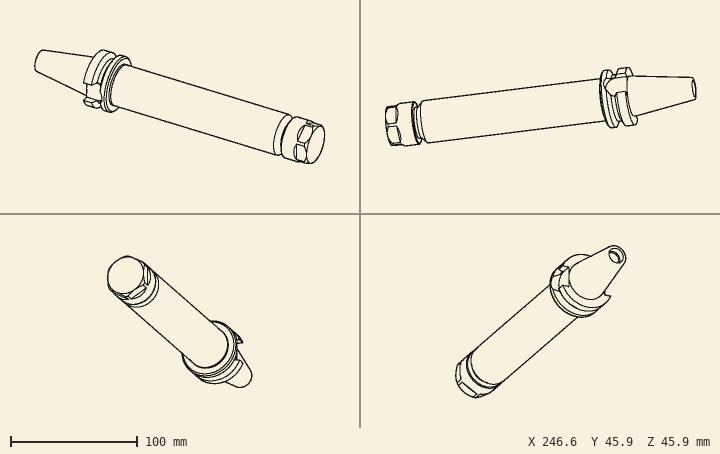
import cadquery as cq
import math

total_length = 246.6
taper_length = 48.3
flange_start = 50.5
flange_end = 71.0
nut_start = 224.2

gauge_diameter = 31.8
tip_diameter = gauge_diameter - taper_length * 7 / 24
tip_fillet = 1.2

flange_diameter = 45.9
flange_chamfer = 1.2
groove_diameter = 37.0
groove_floor_start = 60.2
groove_floor_end = 63.5
groove_depth = (flange_diameter - groove_diameter) / 2
groove_run = groove_depth * math.tan(math.radians(30))

collar_diameter = 34.0
collar_end = 72.5
body_diameter = 33.8
body_chamfer = 1.2
body_chamfer_depth = 0.2
neck_start = 217.8
neck_diameter = 25.0
neck_run = (body_diameter - neck_diameter) / 2 - body_chamfer_depth

pilot_diameter = 12.5
thread_diameter = 10.0
core_diameter = 8.5
pilot_depth = 6.0
thread_depth = 24.7
core_depth = 29.5

slot_width = 17.0
slot_floor_offset = 16.0
slot_end = 67.8

nut_diameter = 34.0
nut_back_chamfer = 0.7
nut_across_flats = 30.5
flats_start = 237.8
flat_count = 6
nut_front_run = 2.2
nut_front_diameter = 30.5


def revolve_about_x(profile):
    """Turn a half profile, given as (x, radius) points, about the X axis."""
    return cq.Workplane("XY").polyline(profile).close().revolve(360, (0, 0, 0), (1, 0, 0))


def make_blank():
    """Turned outside of the holder, from the taper tip to the nut."""
    flange_radius = flange_diameter / 2
    groove_radius = groove_diameter / 2
    body_radius = body_diameter / 2
    neck_radius = neck_diameter / 2
    blank = revolve_about_x([
        (0, 0),
        (0, tip_diameter / 2),
        (taper_length, gauge_diameter / 2),
        (flange_start, gauge_diameter / 2),
        (flange_start, flange_radius),
        (groove_floor_start - groove_run, flange_radius),
        (groove_floor_start, groove_radius),
        (groove_floor_end, groove_radius),
        (groove_floor_end + groove_run, flange_radius),
        (flange_end - flange_chamfer, flange_radius),
        (flange_end, flange_radius - flange_chamfer),
        (flange_end, collar_diameter / 2),
        (collar_end, collar_diameter / 2),
        (collar_end, body_radius),
        (neck_start - body_chamfer, body_radius),
        (neck_start, body_radius - body_chamfer_depth),
        (neck_start + neck_run, neck_radius),
        (nut_start, neck_radius),
        (nut_start, 0),
    ])
    return blank.faces("<X").edges().fillet(tip_fillet)


def make_bore():
    """Stepped blind bore."""
    return revolve_about_x([
        (0, 0),
        (0, pilot_diameter / 2),
        (pilot_depth, pilot_diameter / 2),
        (pilot_depth, thread_diameter / 2),
        (thread_depth, thread_diameter / 2),
        (thread_depth, core_diameter / 2),
        (core_depth, core_diameter / 2),
        (core_depth, 0),
    ])


def make_drive_slot(side):
    """Round-ended slot on the +Y (side = 1) or -Y (side = -1) face of the flange."""
    half_width = slot_width / 2
    arc_start = slot_end - half_width
    return (
        cq.Workplane("XZ", origin=(0, side * slot_floor_offset, 0))
        .moveTo(flange_start, -half_width)
        .lineTo(arc_start, -half_width)
        .threePointArc((slot_end, 0), (arc_start, half_width))
        .lineTo(flange_start, half_width)
        .close()
        .extrude(-side * flange_diameter)
    )


def make_holder():
    holder = make_blank().cut(make_bore())
    for side in (1, -1):
        holder = holder.cut(make_drive_slot(side))
    return holder


def make_nut():
    """Round nut with six wrench flats, each run out by a 45 degree slope."""
    nut_radius = nut_diameter / 2
    nut = revolve_about_x([
        (nut_start, 0),
        (nut_start, nut_radius - nut_back_chamfer),
        (nut_start + nut_back_chamfer, nut_radius),
        (total_length - nut_front_run, nut_radius),
        (total_length, nut_front_diameter / 2),
        (total_length, 0),
    ])
    flat_offset = nut_across_flats / 2
    cut_height = nut_diameter - flat_offset
    flat_cutter = (
        cq.Workplane("XY")
        .polyline([
            (flats_start, flat_offset),
            (total_length, flat_offset),
            (total_length, flat_offset + cut_height),
            (flats_start - cut_height, flat_offset + cut_height),
        ])
        .close()
        .extrude(nut_diameter / 2, both=True)
    )
    for index in range(flat_count):
        nut = nut.cut(flat_cutter.rotate((0, 0, 0), (1, 0, 0), index * 360 / flat_count))
    return nut


holder = make_holder()
nut = make_nut()

result = cq.Compound.makeCompound([holder.val(), nut.val()])